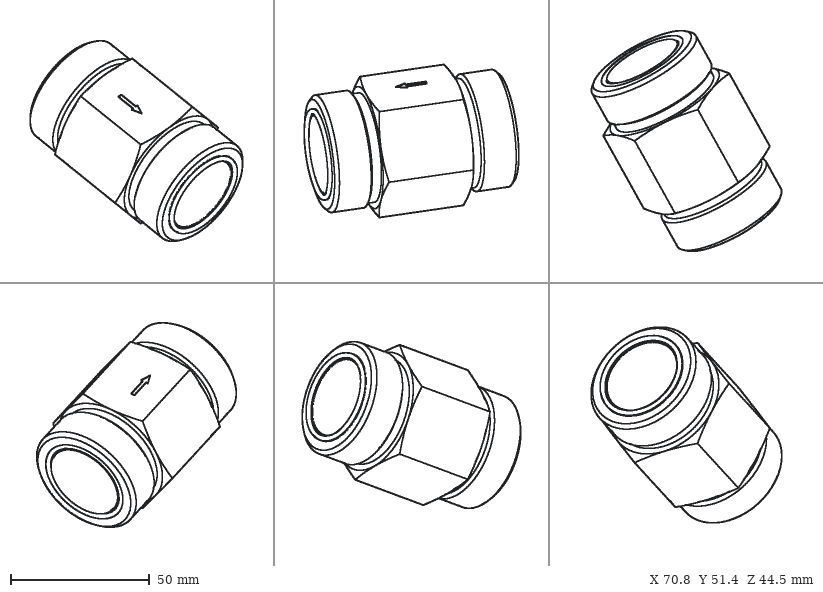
import cadquery as cq
import math

OVERALL_LENGTH = 70.8
LEFT_PROTRUSION = 0.5
RIGHT_PROTRUSION = 1.35
HOUSING_LENGTH = OVERALL_LENGTH - LEFT_PROTRUSION - RIGHT_PROTRUSION
HOUSING_LEFT = -OVERALL_LENGTH / 2 + LEFT_PROTRUSION
HOUSING_CENTER = HOUSING_LEFT + HOUSING_LENGTH / 2

HEX_ACROSS_FLATS = 44.5
HEX_ACROSS_CORNERS = HEX_ACROSS_FLATS / math.cos(math.pi / 6)
HEX_LENGTH = 33.9
HEX_CHAMFER_ANGLE = 20.0

COLLAR_DIAMETER = 42.85
COLLAR_CHAMFER = 1.4
NECK_DIAMETER = 39.9
NECK_WIDTH = 3.4
NECK_SHOULDER_ANGLE = 30.0

RING_OUTER_DIAMETER = 33.2
RING_SECTION = 1.8
RING_CENTER_RADIUS = (RING_OUTER_DIAMETER - RING_SECTION) / 2
BOSS_DIAMETER = 28.7

ARROW_TAIL_X = -6.6
ARROW_LENGTH = 11.5
ARROW_HEAD_LENGTH = 3.8
ARROW_HEAD_WIDTH = 2.9
ARROW_SHAFT_WIDTH = 1.4
ARROW_CENTER_Y = -2.4
ARROW_DEPTH = 0.2


def cylinder(diameter, length, left):
    """Round bar along X that starts at x = left."""
    return cq.Workplane("YZ", origin=(left, 0, 0)).circle(diameter / 2).extrude(length)


def revolve_about_x(half_profile):
    """Solid of revolution about X from (x, radius) points."""
    return cq.Workplane("XY").polyline(half_profile).close().revolve(360, (0, 0, 0), (1, 0, 0))


def make_turned_core():
    """Two chamfered collars joined by the narrower necks."""
    end = HOUSING_LENGTH / 2
    neck_end = HEX_LENGTH / 2 + NECK_WIDTH
    collar_radius = COLLAR_DIAMETER / 2
    neck_radius = NECK_DIAMETER / 2
    shoulder_length = (collar_radius - neck_radius) * math.tan(math.radians(NECK_SHOULDER_ANGLE))
    right_half = [
        (neck_end, neck_radius),
        (neck_end + shoulder_length, collar_radius),
        (end - COLLAR_CHAMFER, collar_radius),
        (end, collar_radius - COLLAR_CHAMFER),
        (end, 0),
    ]
    left_half = [(-x, radius) for x, radius in reversed(right_half)]
    return revolve_about_x(left_half + right_half).translate((HOUSING_CENTER, 0, 0))


def make_hexagon():
    """Hexagonal grip with flats on top and bottom and conically chamfered corners."""
    half_length = HEX_LENGTH / 2
    flat_radius = HEX_ACROSS_FLATS / 2
    corner_radius = HEX_ACROSS_CORNERS / 2
    chamfer_length = (corner_radius - flat_radius) * math.tan(math.radians(HEX_CHAMFER_ANGLE))
    prism = cq.Workplane("YZ").polygon(6, HEX_ACROSS_CORNERS).extrude(half_length, both=True)
    chamfer_envelope = revolve_about_x([
        (-half_length, 0),
        (-half_length, flat_radius),
        (-half_length + chamfer_length, corner_radius),
        (half_length - chamfer_length, corner_radius),
        (half_length, flat_radius),
        (half_length, 0),
    ])
    return prism.intersect(chamfer_envelope).translate((HOUSING_CENTER, 0, 0))


def make_ring_seat(left):
    """Volume of the annular groove that touches the outside and the inner end of an O-ring."""
    outside = cylinder(RING_OUTER_DIAMETER, RING_SECTION, left)
    return outside.cut(cylinder(BOSS_DIAMETER, RING_SECTION, left))


def make_arrow():
    """Volume of the engraved arrow, pointing to +X."""
    tip_x = ARROW_TAIL_X + ARROW_LENGTH
    head_x = tip_x - ARROW_HEAD_LENGTH
    floor = HEX_ACROSS_FLATS / 2 - ARROW_DEPTH
    outline = [
        (ARROW_TAIL_X, -ARROW_SHAFT_WIDTH / 2),
        (head_x, -ARROW_SHAFT_WIDTH / 2),
        (head_x, -ARROW_HEAD_WIDTH / 2),
        (tip_x, 0),
        (head_x, ARROW_HEAD_WIDTH / 2),
        (head_x, ARROW_SHAFT_WIDTH / 2),
        (ARROW_TAIL_X, ARROW_SHAFT_WIDTH / 2),
    ]
    plane = cq.Workplane("XY", origin=(0, ARROW_CENTER_Y, floor))
    return plane.polyline(outline).close().extrude(ARROW_DEPTH)


def make_housing(ring_lefts):
    housing = make_turned_core().union(make_hexagon())
    for left in ring_lefts:
        housing = housing.cut(make_ring_seat(left))
    return housing.cut(make_arrow())


def make_ring(left):
    """O-ring centered on the X axis, with its leftmost point at x = left."""
    section = cq.Workplane("XY", origin=(left + RING_SECTION / 2, RING_CENTER_RADIUS, 0))
    section = section.circle(RING_SECTION / 2)
    return section.revolve(360, (0, -RING_CENTER_RADIUS, 0), (1, -RING_CENTER_RADIUS, 0))


left_ring_x = -OVERALL_LENGTH / 2
right_ring_x = OVERALL_LENGTH / 2 - RING_SECTION

housing = make_housing([left_ring_x, right_ring_x])
rings = [make_ring(x) for x in [left_ring_x, right_ring_x]]

result = cq.Compound.makeCompound([housing.val(), *[ring.val() for ring in rings]])